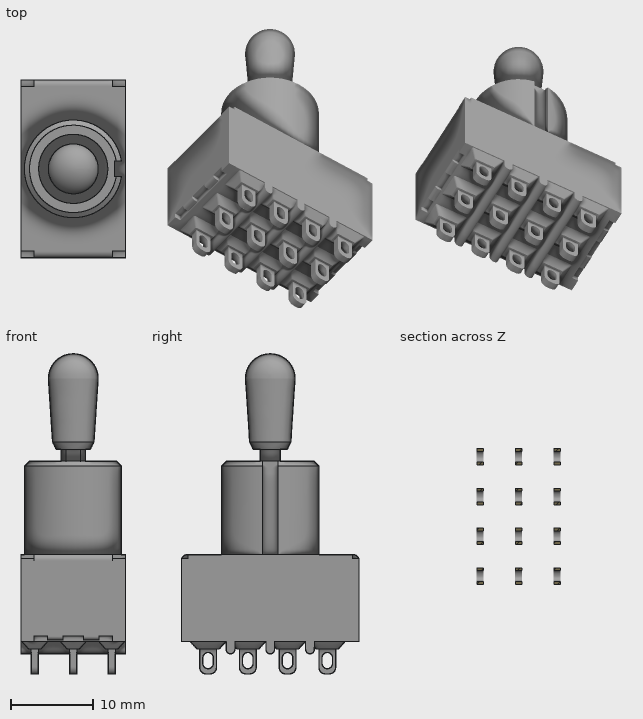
import cadquery as cq

total_height = 38.88
body_bottom = 3.93
body_top = 14.5
bushing_top = 25.85

body_width = 12.7
body_length = 21.58
cover_thickness = 0.45
cover_bend_radius = 0.75
flap_width = 9.5
flap_depth = 0.8
flap_clearance = 0.7
tab_width = 1.85
tab_spacing = 4.35
tab_drop = 0.45
tab_curl_radius = 0.4

rib_width = 1.1
rib_drop = 1.48
rib_pitch = 4.82

pin_columns = 3
pin_rows = 4
pin_pitch_x = 4.65
pin_pitch_y = rib_pitch
pin_row_offset = -0.3
pin_width = 2.05
pin_thickness = 0.9
pin_tip_radius = 0.8
eyelet_width = 1.25
eyelet_height = 1.95
eyelet_center_z = 1.65
base_height = 0.9
base_taper = 0.8
base_size_x = 3.1
base_size_y = 4.3
base_edge_radius = 0.25

bushing_diameter = 11.85
bushing_chamfer = 0.62
bore_diameter = 8.4
bore_depth = 1.4
keyway_width = 1.85
keyway_floor_x = 4.98
lever_slot_length = 5.52
lever_slot_width = 2.55

stem_diameter = 3.05
stem_flats = 2.45
knob_bottom = 27.25
knob_collar_height = 0.95
knob_bottom_radius = 2.05
knob_collar_radius = 2.53
knob_radius = 3.05


def centered_box(size_x, size_y, bottom, top):
    """Box centered on the Z axis between two heights."""
    return cq.Workplane("XY").workplane(offset=bottom).rect(size_x, size_y).extrude(top - bottom)


def make_body():
    """Housing with square corner posts, a cover plate and bent-down end flaps between the posts."""
    cover_bottom = body_top - cover_thickness
    flap_bottom = body_bottom + flap_clearance
    core_length = body_length - 2 * flap_depth
    flap_center_y = (body_length - flap_depth) / 2
    post_width = (body_width - flap_width) / 2
    post_center_x = (body_width - post_width) / 2

    cover_and_flaps = centered_box(flap_width, body_length, flap_bottom, body_top)
    cover_and_flaps = cover_and_flaps.edges("|X and >Z").fillet(cover_bend_radius)
    body = centered_box(body_width, core_length, body_bottom, body_top).union(cover_and_flaps)

    post = centered_box(post_width, flap_depth, body_bottom, cover_bottom)
    tab = centered_box(tab_width, flap_depth, flap_bottom - tab_drop, flap_bottom)
    tab = tab.edges("|X and <Z").edges("<Y").fillet(tab_curl_radius)
    end_parts = cq.Workplane("XY")
    for side in (-1, 1):
        end_parts = end_parts.add(post.translate((side * post_center_x, -flap_center_y, 0)))
        end_parts = end_parts.add(tab.translate((side * tab_spacing / 2, -flap_center_y, 0)))
    for part in end_parts.vals():
        body = body.union(cq.Workplane(part))
        body = body.union(cq.Workplane(part.mirror("XZ")))
    return body


def make_rib():
    """Separator rib with a fully rounded lower edge, running across the body."""
    straight_bottom = body_bottom - rib_drop + rib_width / 2
    return (
        cq.Workplane("YZ")
        .moveTo(-rib_width / 2, body_bottom)
        .lineTo(-rib_width / 2, straight_bottom)
        .threePointArc((0, body_bottom - rib_drop), (rib_width / 2, straight_bottom))
        .lineTo(rib_width / 2, body_bottom)
        .close()
        .extrude(body_width / 2, both=True)
    )


def make_pin():
    """Flat pin with an eyelet, hanging from a tapered base."""
    base = (
        cq.Workplane("XY")
        .workplane(offset=body_bottom)
        .rect(base_size_x, base_size_y)
        .workplane(offset=-base_height)
        .rect(base_size_x - 2 * base_taper, base_size_y - 2 * base_taper)
        .loft(ruled=True)
    )
    base = base.edges("not(#Z)").fillet(base_edge_radius)
    blade = centered_box(pin_thickness, pin_width, 0, body_bottom - base_height)
    blade = blade.edges("|X and <Z").fillet(pin_tip_radius)
    eyelet = (
        cq.Workplane("YZ")
        .center(0, eyelet_center_z)
        .slot2D(eyelet_height, eyelet_width, 90)
        .extrude(pin_thickness, both=True)
    )
    return base.union(blade).cut(eyelet)


def make_bushing():
    """Chamfered collar with a shallow bore, a lever slot and a full-height keyway."""
    height = bushing_top - body_top
    bushing = cq.Workplane("XY").workplane(offset=body_top).circle(bushing_diameter / 2).extrude(height)
    bushing = bushing.faces(">Z").chamfer(bushing_chamfer)
    bore = cq.Workplane("XY").workplane(offset=bushing_top).circle(bore_diameter / 2).extrude(-bore_depth)
    lever_slot = centered_box(lever_slot_length, lever_slot_width, body_top, bushing_top)
    keyway = centered_box(bushing_diameter, keyway_width, body_top, bushing_top)
    keyway = keyway.translate((keyway_floor_x + bushing_diameter / 2, 0, 0))
    return bushing.cut(bore).cut(lever_slot).cut(keyway)


def make_lever():
    """Round stem with two flats, carrying a tapered knob with a domed end."""
    stem_height = knob_bottom - body_top
    stem = cq.Workplane("XY").workplane(offset=body_top).circle(stem_diameter / 2).extrude(stem_height)
    stem = stem.intersect(centered_box(stem_diameter, stem_flats, body_top, knob_bottom))

    dome_center_z = total_height - knob_radius
    dome_mid = knob_radius * 0.5 ** 0.5
    knob = (
        cq.Workplane("XZ")
        .moveTo(0, knob_bottom)
        .lineTo(knob_bottom_radius, knob_bottom)
        .lineTo(knob_collar_radius, knob_bottom + knob_collar_height)
        .lineTo(knob_radius, dome_center_z)
        .threePointArc((dome_mid, dome_center_z + dome_mid), (0, total_height))
        .close()
        .revolve(360, (0, 0, 0), (0, 1, 0))
    )
    return stem.union(knob)


result = make_body()

rib_count = pin_rows - 1
for rib_index in range(rib_count):
    rib_y = (rib_index - (rib_count - 1) / 2) * rib_pitch
    result = result.union(make_rib().translate((0, rib_y, 0)))

for column in range(pin_columns):
    pin_x = (column - (pin_columns - 1) / 2) * pin_pitch_x
    for row in range(pin_rows):
        pin_y = (row - (pin_rows - 1) / 2) * pin_pitch_y + pin_row_offset
        result = result.union(make_pin().translate((pin_x, pin_y, 0)))

result = result.union(make_bushing()).union(make_lever())